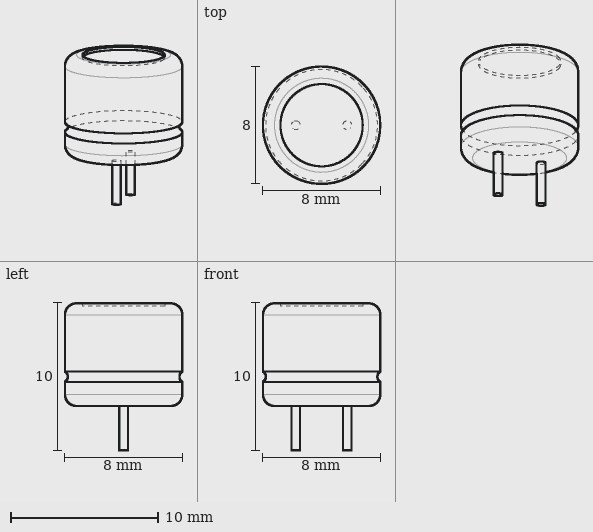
import cadquery as cq

can_radius = 4.0
can_height = 7.0
edge_radius = 0.8

groove_height = 0.7
groove_middle = 2.0
groove_depth = 0.2

recess_diameter = 5.6
recess_depth = 0.2

lead_length = 3.0
lead_diameter = 0.6
lead_pitch = 3.5

can_bottom = lead_length
can_top = can_bottom + can_height


def make_can():
    """Revolve the half section of the can, with its rounded ends and crimp groove."""
    groove_center = can_bottom + groove_middle
    groove_bottom = groove_center - groove_height / 2
    groove_top = groove_center + groove_height / 2
    flat_radius = can_radius - edge_radius
    half_section = (
        cq.Workplane("XZ")
        .moveTo(0, can_bottom)
        .lineTo(flat_radius, can_bottom)
        .radiusArc((can_radius, can_bottom + edge_radius), -edge_radius)
        .lineTo(can_radius, groove_bottom)
        .threePointArc((can_radius - groove_depth, groove_center), (can_radius, groove_top))
        .lineTo(can_radius, can_top - edge_radius)
        .radiusArc((flat_radius, can_top), -edge_radius)
        .lineTo(0, can_top)
        .close()
    )
    return half_section.revolve(360, (0, 0, 0), (0, 1, 0))


def make_recess():
    """Disc to cut from the top face."""
    floor = cq.Workplane("XY").workplane(offset=can_top - recess_depth)
    return floor.circle(recess_diameter / 2).extrude(recess_depth)


def make_leads():
    """Two round leads, from their free ends at Z = 0 up to the can."""
    lead_centers = [(-lead_pitch / 2, 0), (lead_pitch / 2, 0)]
    return cq.Workplane("XY").pushPoints(lead_centers).circle(lead_diameter / 2).extrude(lead_length)


result = make_can().cut(make_recess()).union(make_leads())